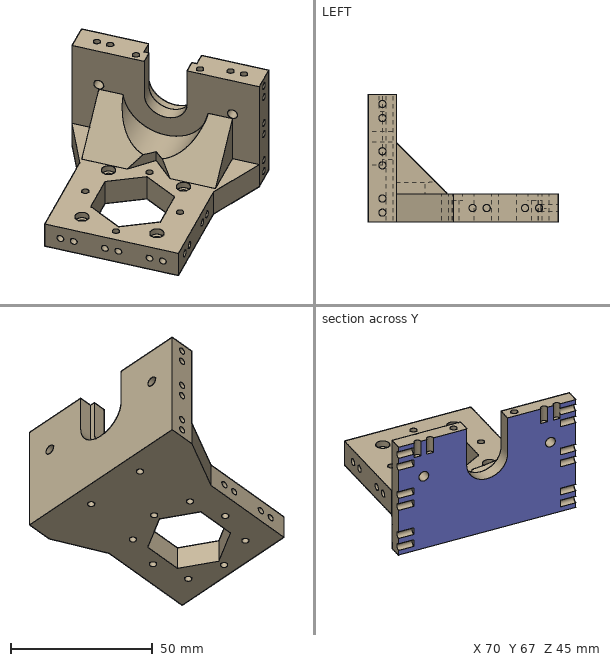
import cadquery as cq
import math


width = 70.0
length = 67.0
height = 45.0
thickness = 10.0

base_width = 50.0
taper_end_y = -30.0

slot_axis_z = 30.0
slot_radius = 8.0
recess_radius = 9.9
recess_depth = 5.0

gusset_leg = 18.0
clearance_radius = 16.0

motor_y = -44.7
motor_square = 35.0
hexagon_diameter = 30.0
axis_hole_radius = 17.7
corner_hole_offset = 14.0
counterbore_diameter = 5.0
counterbore_depth = 2.4

screw_diameter = 2.5
wall_hole_diameter = 3.7
wall_hole_spacing = base_width
clamp_hole_x = 12.0
clamp_hole_y = -7.5

pair_spacing = 5.0
blind_depth = 6.0
group_pitch = base_width / 3


def box(x_size, y_min, y_max, z_min, z_max):
    """Block centred on x = 0."""
    block = cq.Workplane("XY").box(x_size, y_max - y_min, z_max - z_min, centered=(True, False, False))
    return block.translate((0, y_min, z_min))


def cylinder(diameter, start, direction, depth):
    """Round cutter that runs from the start point along the direction."""
    return cq.Workplane(cq.Solid.makeCylinder(diameter / 2, depth, cq.Vector(*start), cq.Vector(*direction)))


def pair_positions(group_centers):
    """Centres of the two holes of every pair along an edge."""
    return [center + side * pair_spacing / 2 for center in group_centers for side in (-1, 1)]


def make_base():
    outline = [
        (width / 2, 0),
        (width / 2, -thickness),
        (base_width / 2, taper_end_y),
        (base_width / 2, -length),
    ]
    mirrored = [(-x, y) for x, y in reversed(outline)]
    return cq.Workplane("XY").polyline(outline + mirrored).close().extrude(thickness)


def make_gusset():
    """45 degree wedge with a round trough and a notch for the motor corner."""
    triangle = [
        (-thickness, thickness),
        (-thickness - gusset_leg, thickness),
        (-thickness, thickness + gusset_leg),
    ]
    wedge = cq.Workplane("YZ").polyline(triangle).close().extrude(base_width / 2, both=True)
    trough = cylinder(2 * clearance_radius, (0, -thickness, slot_axis_z), (0, -1, 0), gusset_leg)
    motor = (
        cq.Workplane("XY", origin=(0, motor_y, thickness))
        .transformed(rotate=(0, 0, 45))
        .rect(motor_square, motor_square)
        .extrude(height)
    )
    return wedge.cut(trough).cut(motor)


def u_slot(radius, y_min, y_max):
    """Round-bottomed slot that is open at the top of the wall."""
    rounded = cylinder(2 * radius, (0, y_min, slot_axis_z), (0, 1, 0), y_max - y_min)
    return rounded.union(box(2 * radius, y_min, y_max, slot_axis_z, height))


def cut_wall_features(body):
    body = body.cut(u_slot(slot_radius, -thickness, 0))
    body = body.cut(u_slot(recess_radius, -recess_depth, 0))
    for side in (-1, 1):
        wall_hole_start = (side * wall_hole_spacing / 2, -thickness, slot_axis_z)
        body = body.cut(cylinder(wall_hole_diameter, wall_hole_start, (0, 1, 0), thickness))
        clamp_start = (side * clamp_hole_x, clamp_hole_y, 0)
        body = body.cut(cylinder(screw_diameter, clamp_start, (0, 0, 1), height))
    return body


def cut_motor_mount(body):
    hexagon = (
        cq.Workplane("XY", origin=(0, motor_y, 0))
        .transformed(rotate=(0, 0, 90))
        .polygon(6, hexagon_diameter)
        .extrude(thickness)
    )
    body = body.cut(hexagon)
    for quarter in range(4):
        angle = quarter * math.pi / 2
        axis_start = (
            axis_hole_radius * math.cos(angle),
            motor_y + axis_hole_radius * math.sin(angle),
            0,
        )
        body = body.cut(cylinder(screw_diameter, axis_start, (0, 0, 1), thickness))
    for x_side in (-1, 1):
        for y_side in (-1, 1):
            x = x_side * corner_hole_offset
            y = motor_y + y_side * corner_hole_offset
            body = body.cut(cylinder(screw_diameter, (x, y, 0), (0, 0, 1), thickness))
            body = body.cut(
                cylinder(counterbore_diameter, (x, y, thickness), (0, 0, -1), counterbore_depth)
            )
    return body


def cut_blind_holes(body):
    middle = thickness / 2

    for x in pair_positions([-group_pitch, 0, group_pitch]):
        body = body.cut(cylinder(screw_diameter, (x, -length, middle), (0, 1, 0), blind_depth))

    for x in pair_positions([-wall_hole_spacing / 2, wall_hole_spacing / 2]):
        body = body.cut(cylinder(screw_diameter, (x, -middle, height), (0, 0, -1), blind_depth))

    wall_z = pair_positions([height / 2 + step * group_pitch for step in (-1, 0, 1)])
    straight_length = length + taper_end_y
    base_y = pair_positions([-length + straight_length * share for share in (1 / 4, 3 / 4)])
    for side in (-1, 1):
        inward = (-side, 0, 0)
        for z in wall_z:
            body = body.cut(cylinder(screw_diameter, (side * width / 2, -middle, z), inward, blind_depth))
        for y in base_y:
            body = body.cut(cylinder(screw_diameter, (side * base_width / 2, y, middle), inward, blind_depth))
    return body


wall = box(width, -thickness, 0, 0, height)
result = make_base().union(wall).union(make_gusset())
result = cut_wall_features(result)
result = cut_motor_mount(result)
result = cut_blind_holes(result)